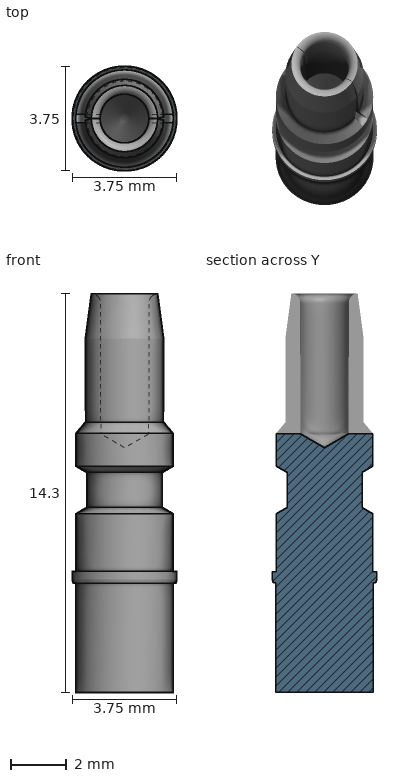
import cadquery as cq
import math

height = 14.26

base_radius = 1.75
body_radius = 1.74
flange_radius = 1.875
flange_underside_radius = 1.84
neck_radius = 1.35
sleeve_radius = 1.4
tip_radius = 1.185

flange_bottom = 3.91
flange_top = 4.33
flange_chamfer_height = 0.13
body_top = 6.39
collar_bottom = 8.09
shoulder_angle = 30
shoulder_height = (body_radius - neck_radius) * math.tan(math.radians(shoulder_angle))
collar_top_angle = 50
collar_cone_height = (body_radius - sleeve_radius) * math.tan(math.radians(collar_top_angle))
tip_length = 1.6

slot_depth = 5.0
bore_radius = 0.87
bore_depth = slot_depth
bore_point_angle = 120
mouth_radius = tip_radius - bore_radius

slot_floor_width = 0.31
slot_tip_width = 0.02

collar_top = height - slot_depth


def turned_outline():
    """Solid of revolution carrying the base, body, flange, neck, collar, sleeve and tip."""
    return (
        cq.Workplane("XZ")
        .moveTo(0, 0)
        .lineTo(base_radius, 0)
        .lineTo(base_radius, flange_bottom)
        .lineTo(flange_underside_radius, flange_bottom)
        .lineTo(flange_radius, flange_bottom + flange_chamfer_height)
        .lineTo(flange_radius, flange_top)
        .lineTo(body_radius, flange_top)
        .lineTo(body_radius, body_top)
        .lineTo(neck_radius, body_top + shoulder_height)
        .lineTo(neck_radius, collar_bottom - shoulder_height)
        .lineTo(body_radius, collar_bottom)
        .lineTo(body_radius, collar_top)
        .lineTo(sleeve_radius, collar_top + collar_cone_height)
        .lineTo(sleeve_radius, height - tip_length)
        .lineTo(tip_radius, height)
        .lineTo(0, height)
        .close()
        .revolve(360, (0, 0, 0), (0, 1, 0))
    )


def bore():
    """Tool for the bore; its mouth flares out in a quarter round up to the tip edge."""
    bore_end = height - bore_depth
    point_depth = bore_radius / math.tan(math.radians(bore_point_angle / 2))
    mouth_offset = mouth_radius * math.cos(math.radians(45))
    mouth_middle = (tip_radius - mouth_offset, height - mouth_radius + mouth_offset)
    return (
        cq.Workplane("XZ")
        .moveTo(0, bore_end - point_depth)
        .lineTo(bore_radius, bore_end)
        .lineTo(bore_radius, height - mouth_radius)
        .threePointArc(mouth_middle, (tip_radius, height))
        .lineTo(0, height)
        .close()
        .revolve(360, (0, 0, 0), (0, 1, 0))
    )


def slot():
    """Tool for the tapered slot that splits the sleeve into two halves."""
    return (
        cq.Workplane("YZ")
        .moveTo(-slot_floor_width / 2, collar_top)
        .lineTo(slot_floor_width / 2, collar_top)
        .lineTo(slot_tip_width / 2, height)
        .lineTo(-slot_tip_width / 2, height)
        .close()
        .extrude(flange_radius, both=True)
    )


result = turned_outline().cut(bore()).cut(slot())